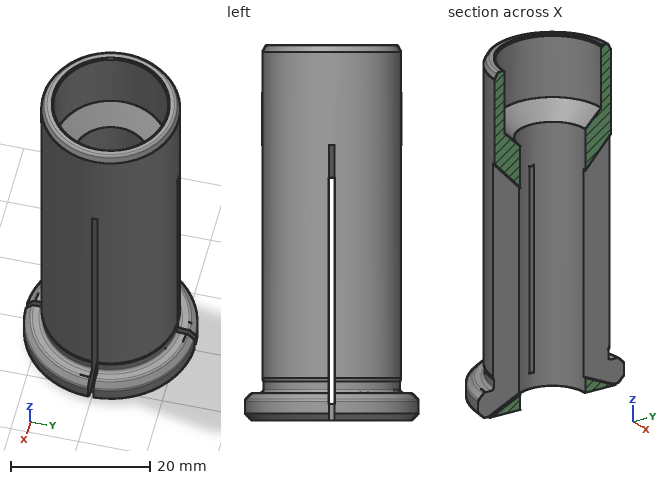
import cadquery as cq
import math

length = 54.0
body_radius = 20.0 / 2
flange_radius = 25.0 / 2
flange_height = 4.0
flange_chamfer = 1.0
edge_round = 0.5

neck_depth = 0.15
neck_top = 5.6
neck_taper_height = 0.5

lead_width = 0.55
lead_height = 1.0

wide_bore_radius = 16.5 / 2
narrow_bore_radius = 11.1 / 2
wide_bore_floor = 44.15
mouth_chamfer = 0.2

slot_count = 4
slot_width = 0.8
slot_top = 39.65
slot_top_angle = 47.0
slot_foot_radius = 10.75
slot_foot_angle = 25.0
slot_overrun = 1.1


def revolve_profile(points):
    """Revolve a closed (radius, z) outline about Z."""
    return cq.Workplane("XZ").polyline(points).close().revolve(360, (0, 0), (0, 1))


def round_ring_edges(solid, places):
    """Round all full-circle edges whose radius and height match one of the places."""
    def matches(edge):
        box = edge.BoundingBox()
        return any(
            abs(box.xmax - radius) < 0.005 and abs(box.zmin - z) < 0.005 and box.zlen < 0.01
            for radius, z in places
        )

    edges = [edge for edge in solid.edges("%CIRCLE").vals() if matches(edge)]
    return solid.newObject(edges).fillet(edge_round)


def make_outside():
    neck_radius = body_radius - neck_depth
    flange_face_radius = flange_radius - flange_chamfer
    flange_shoulder = (flange_radius, flange_height - flange_chamfer)
    flange_top_edge = (flange_face_radius, flange_height)
    neck_root = (neck_radius, flange_height)
    lead_edge = (body_radius - lead_width, length)
    outside = revolve_profile([
        (0, 0),
        (flange_face_radius, 0),
        (flange_radius, flange_chamfer),
        flange_shoulder,
        flange_top_edge,
        neck_root,
        (neck_radius, neck_top),
        (body_radius, neck_top + neck_taper_height),
        (body_radius, length - lead_height),
        lead_edge,
        (0, length),
    ])
    return round_ring_edges(outside, [flange_shoulder, flange_top_edge, neck_root, lead_edge])


def make_bore():
    cone_height = wide_bore_radius - narrow_bore_radius
    return revolve_profile([
        (0, 0),
        (narrow_bore_radius, 0),
        (narrow_bore_radius, wide_bore_floor - cone_height),
        (wide_bore_radius, wide_bore_floor),
        (wide_bore_radius, length - mouth_chamfer),
        (wide_bore_radius + mouth_chamfer, length),
        (0, length),
    ])


def make_slot():
    """Slot cutter along +X, from inside the bore to beyond the flange."""
    inner = narrow_bore_radius - slot_overrun
    outer = flange_radius + slot_overrun
    top_slope = math.tan(math.radians(slot_top_angle))
    foot_slope = math.tan(math.radians(slot_foot_angle))

    def top_at(radius):
        return slot_top + (radius - body_radius) * top_slope

    def foot_at(radius):
        return (slot_foot_radius - radius) * foot_slope

    return (
        cq.Workplane("XZ")
        .polyline([
            (inner, foot_at(inner)),
            (outer, foot_at(outer)),
            (outer, top_at(outer)),
            (inner, top_at(inner)),
        ])
        .close()
        .extrude(slot_width / 2, both=True)
    )


result = make_outside().cut(make_bore())
for index in range(slot_count):
    result = result.cut(make_slot().rotate((0, 0, 0), (0, 0, 1), index * 360 / slot_count))